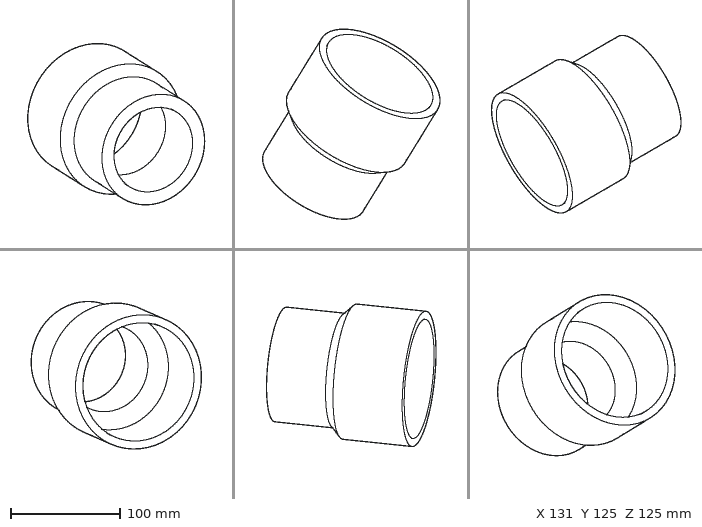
import cadquery as cq

total_length = 131.0
wide_diameter = 125.0
narrow_diameter = 106.0
wide_length = total_length / 2
shoulder_length = (wide_diameter - narrow_diameter) / 2

socket_diameter = 110.0
socket_depth = 62.0
narrow_bore_diameter = 81.0
bore_taper_length = (socket_diameter - narrow_bore_diameter) / 2


def stepped_solid(first_diameter, first_length, taper_length, second_diameter):
    """Full-length round solid: a cylinder, a cone and a second cylinder in line along X."""
    taper_end = first_length + taper_length
    half_profile = [
        (0, 0),
        (0, first_diameter / 2),
        (first_length, first_diameter / 2),
        (taper_end, second_diameter / 2),
        (total_length, second_diameter / 2),
        (total_length, 0),
    ]
    return cq.Workplane("XY").polyline(half_profile).close().revolve(360, (0, 0, 0), (1, 0, 0))


outer_body = stepped_solid(wide_diameter, wide_length, shoulder_length, narrow_diameter)
bore = stepped_solid(socket_diameter, socket_depth, bore_taper_length, narrow_bore_diameter)

result = outer_body.cut(bore)